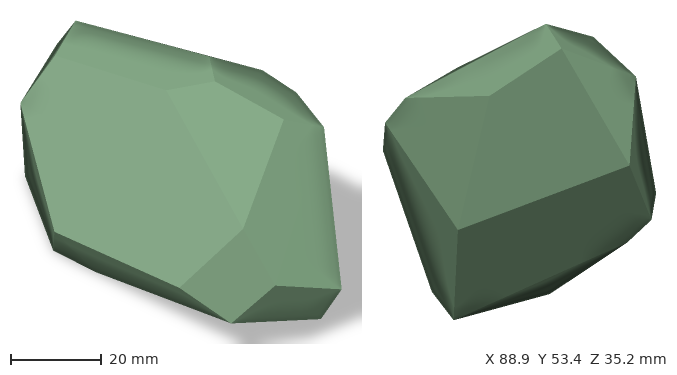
import cadquery as cq



def facet_plane(corners):
    """Return the unit normal of three corners and its distance from the origin."""
    first, second, third = corners
    normal = (second - first).cross(third - first).normalized()
    return normal, normal.dot(first)


def slide_to_plane(start, direction, corners):
    """Move a starting point along a direction until it lies in the corners' plane."""
    normal, distance = facet_plane(corners)
    travel = (distance - normal.dot(start)) / normal.dot(direction)
    return start + direction * travel


def meet_planes(corners_a, corners_b, corners_c):
    """Return the point shared by the planes of three sets of corners."""
    normal_a, distance_a = facet_plane(corners_a)
    normal_b, distance_b = facet_plane(corners_b)
    normal_c, distance_c = facet_plane(corners_c)
    total = (
        normal_b.cross(normal_c) * distance_a
        + normal_c.cross(normal_a) * distance_b
        + normal_a.cross(normal_b) * distance_c
    )
    return total * (1 / normal_a.dot(normal_b.cross(normal_c)))


def at_height(x, y, corners):
    """Return the point above (x, y) in the plane of three corners."""
    return slide_to_plane(cq.Vector(x, y, 0), ALONG_Z, corners)


ALONG_X = cq.Vector(1, 0, 0)
ALONG_Y = cq.Vector(0, 1, 0)
ALONG_Z = cq.Vector(0, 0, 1)

left_tip = cq.Vector(0, 39.3, 21.15)
left_front = cq.Vector(5.7, 17.4, 22.75)
right_front = cq.Vector(69.3, 12.7, 22.5)
right_shoulder = cq.Vector(80.35, 9.4, 13.9)
right_tip = cq.Vector(88.9, 22.7, 7.5)
rear_ridge = cq.Vector(60.5, 40.4, 29.9)
base_left = cq.Vector(5.9, 18.9, 0)
base_front = cq.Vector(25.1, 2.75, 0)

belly_left = slide_to_plane(cq.Vector(27.0, 0, 8.3), ALONG_Y, (left_front, base_left, base_front))
belly_middle = at_height(61.15, 0, (left_front, belly_left, right_front))
belly_right = at_height(74.5, 1.0, (right_front, belly_middle, right_shoulder))
base_belly = slide_to_plane(cq.Vector(36.7, 0, 0), ALONG_Y, (belly_left, belly_right, belly_middle))
base_right = slide_to_plane(cq.Vector(86.0, 0, 0), ALONG_Y, (belly_right, right_tip, right_shoulder))

rear_right = at_height(66.4, 47.5, (right_front, right_shoulder, rear_ridge))
rear_middle = at_height(54.7, 53.4, (right_tip, base_right, rear_right))
crown = at_height(44.0, 37.5, (rear_ridge, rear_right, rear_middle))
peak = at_height(37.3, 28.35, (right_front, rear_ridge, crown))
left_crown = at_height(8.5, 26.6, (left_front, right_front, peak))
left_rear = at_height(3.6, 41.2, (left_tip, left_front, left_crown))
rear_crown = at_height(36.8, 45.4, (left_rear, peak, crown))
rear_left = at_height(45.5, 53.4, (rear_crown, crown, rear_middle))

base_rear = slide_to_plane(cq.Vector(0, 37.8, 0), ALONG_X, (rear_middle, rear_right, right_tip))
belly_rear = meet_planes(
    (left_tip, left_rear, rear_left),
    (left_tip, base_left, base_rear),
    (rear_left, rear_middle, base_rear),
)

FACETS = [
    (left_tip, left_front, left_crown, left_rear),
    (left_tip, base_left, left_front),
    (left_front, base_left, base_front, belly_left),
    (belly_left, base_front, base_belly),
    (belly_left, base_belly, belly_right, belly_middle),
    (left_front, belly_left, belly_middle, right_front),
    (left_front, right_front, peak, left_crown),
    (left_rear, left_crown, peak),
    (left_rear, peak, crown, rear_crown),
    (left_rear, rear_crown, rear_left),
    (rear_crown, crown, rear_middle, rear_left),
    (crown, rear_ridge, rear_right, rear_middle),
    (peak, right_front, rear_ridge, crown),
    (right_front, right_shoulder, rear_right, rear_ridge),
    (rear_right, right_shoulder, right_tip),
    (right_front, belly_middle, belly_right, right_shoulder),
    (belly_right, base_right, right_tip, right_shoulder),
    (base_belly, base_right, belly_right),
    (left_tip, left_rear, rear_left, belly_rear),
    (left_tip, belly_rear, base_rear, base_left),
    (belly_rear, rear_left, rear_middle, base_rear),
    (rear_middle, rear_right, right_tip, base_right, base_rear),
    (base_left, base_front, base_belly, base_right, base_rear),
]


def make_facet(corners):
    """Return the flat face bounded by a loop of corners."""
    return cq.Face.makeFromWires(cq.Wire.makePolygon(corners, close=True))


stone_shell = cq.Shell.makeShell([make_facet(corners) for corners in FACETS])
result = cq.Workplane("XY").newObject([cq.Solid.makeSolid(stone_shell)])